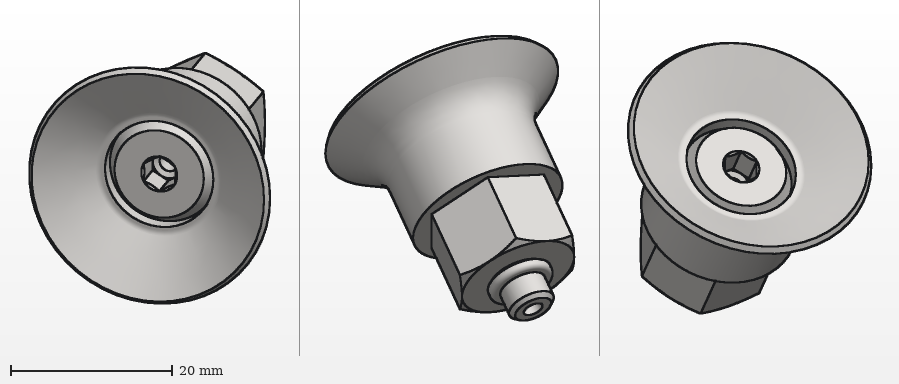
import cadquery as cq
import math


lip_radius = 15.58
lip_front_radius = 15.0
lip_thickness = 0.8
body_radius = 20.0 / 2
body_end = 16.0
flare_radius = 5.0
flare_angle = math.radians(50)

floor_depth = 5.0
floor_radius = 7.55
floor_fillet = 1.0
groove_outer_radius = 14.0 / 2
groove_inner_radius = 5.75
groove_depth = 2.15

hex_flats = 15.0
hex_end = 26.0
hex_chamfer_radius = 7.5
hex_chamfer_angle = math.radians(30)

neck_radius = 7.6 / 2
neck_end = 26.35
flange_radius = 8.4 / 2
flange_top_radius = 7.25 / 2
flange_end = 27.5
stud_radius = 6.0 / 2
stud_chamfer = 0.6
stud_end = 31.0

bore_radius = 2.5 / 2
socket_flats = 4.02
socket_depth = 4.0
socket_chamfer_angle = math.radians(45)
socket_bottom_angle = math.radians(30)


def revolve(outline):
    """Turn a closed (radius, y) outline around the Y axis."""
    return outline.close().revolve(360, (0, 0, 0), (0, 1, 0))


def frustum(start, start_radius, end, end_radius):
    outline = cq.Workplane("XY").moveTo(0, start).lineTo(start_radius, start)
    return revolve(outline.lineTo(end_radius, end).lineTo(0, end))


def hexagon(flats, start, end):
    """Hexagonal prism along Y with corners at +Z and -Z."""
    profile = cq.Workplane("XZ", origin=(0, start, 0)).transformed(rotate=(0, 0, 90))
    return profile.polygon(6, corner_radius(flats) * 2).extrude(start - end)


def corner_radius(flats):
    return flats / 2 / math.cos(math.pi / 6)


def make_cup():
    def flare_point(angle):
        radius = body_radius + flare_radius * (1 - math.cos(angle))
        return radius, flare_start - flare_radius * math.sin(angle)

    flare_bottom_radius = body_radius + flare_radius * (1 - math.cos(flare_angle))
    cone_length = (lip_radius - flare_bottom_radius) / math.tan(flare_angle)
    flare_start = lip_thickness + cone_length + flare_radius * math.sin(flare_angle)
    outline = (
        cq.Workplane("XY")
        .lineTo(lip_front_radius, 0)
        .lineTo(lip_radius, lip_thickness)
        .lineTo(*flare_point(flare_angle))
        .threePointArc(flare_point(flare_angle / 2), flare_point(0))
        .lineTo(body_radius, body_end)
        .lineTo(0, body_end)
    )
    return revolve(outline)


def make_cup_cavity():
    fillet_center = floor_depth - floor_fillet
    lip_offset = lip_front_radius - floor_radius
    lip_distance = math.hypot(lip_offset, fillet_center)
    tangent_angle = math.acos(floor_fillet / lip_distance) - math.atan2(fillet_center, lip_offset)

    def fillet_point(angle):
        radius = floor_radius + floor_fillet * math.cos(angle)
        return radius, fillet_center + floor_fillet * math.sin(angle)

    outline = (
        cq.Workplane("XY")
        .lineTo(lip_front_radius, 0)
        .lineTo(*fillet_point(tangent_angle))
        .threePointArc(fillet_point((tangent_angle + math.pi / 2) / 2), fillet_point(math.pi / 2))
        .lineTo(0, floor_depth)
    )
    return revolve(outline)


def make_floor_groove():
    outline = (
        cq.Workplane("XY")
        .moveTo(groove_inner_radius, floor_depth)
        .lineTo(groove_outer_radius, floor_depth)
        .lineTo(groove_outer_radius, floor_depth + groove_depth)
    )
    return revolve(outline)


def make_hex_nut():
    length = hex_end - body_end
    cone_base_radius = hex_chamfer_radius + length / math.tan(hex_chamfer_angle)
    cone = frustum(body_end, cone_base_radius, hex_end, hex_chamfer_radius)
    return hexagon(hex_flats, body_end, hex_end).intersect(cone)


def make_stud():
    flange_fillet = flange_radius - flange_top_radius
    fillet_start = flange_end - flange_fillet
    arc_middle = flange_fillet * math.sin(math.pi / 4)
    outline = (
        cq.Workplane("XY")
        .moveTo(0, hex_end)
        .lineTo(neck_radius, hex_end)
        .lineTo(neck_radius, neck_end)
        .lineTo(flange_radius, neck_end)
        .lineTo(flange_radius, fillet_start)
        .threePointArc(
            (flange_top_radius + arc_middle, fillet_start + arc_middle),
            (flange_top_radius, flange_end),
        )
        .lineTo(stud_radius, flange_end)
        .lineTo(stud_radius, stud_end - stud_chamfer)
        .lineTo(stud_radius - stud_chamfer, stud_end)
        .lineTo(0, stud_end)
    )
    return revolve(outline)


def make_socket():
    socket_end = floor_depth + socket_depth
    inner_radius = socket_flats / 2
    mouth_radius = corner_radius(socket_flats)
    mouth_depth = (mouth_radius - inner_radius) * math.tan(socket_chamfer_angle)
    bottom_depth = (inner_radius - bore_radius) * math.tan(socket_bottom_angle)
    mouth = frustum(floor_depth, mouth_radius, floor_depth + mouth_depth, inner_radius)
    bottom = frustum(socket_end, inner_radius, socket_end + bottom_depth, bore_radius)
    bore = frustum(floor_depth, bore_radius, stud_end, bore_radius)
    return hexagon(socket_flats, floor_depth, socket_end).union(mouth).union(bottom).union(bore)


result = (
    make_cup()
    .cut(make_cup_cavity())
    .cut(make_floor_groove())
    .union(make_hex_nut())
    .union(make_stud())
    .cut(make_socket())
)